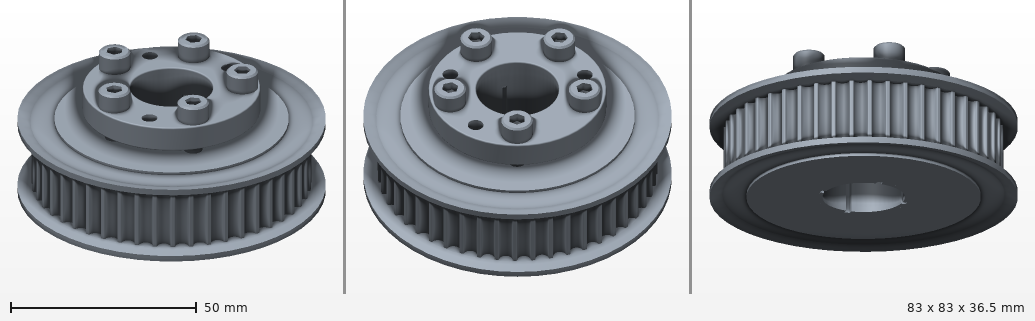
import cadquery as cq
import math

BODY_HEIGHT = 21.9
TOOTH_COUNT = 48
TIP_RADIUS = 37.7
SHOULDER_RADIUS = 31.5
SHOULDER_PROTRUSION = 0.1

GROOVE_RADIUS = 1.8
GROOVE_DEPTH = 2.0
LIP_RADIUS = 0.3

FLANGE_RADIUS = 41.5
BEND_RADIUS = 38.0
FLANGE_THICKNESS = 1.7
RIM_RISE = 0.75
FLANGE_HEIGHT = FLANGE_THICKNESS + RIM_RISE
TEETH_BOTTOM = SHOULDER_PROTRUSION + FLANGE_HEIGHT
TEETH_LENGTH = BODY_HEIGHT - 2 * TEETH_BOTTOM

HUB_RADIUS = 23.9
HUB_BOTTOM = 24.4
HUB_TOP = 31.4
SLEEVE_RADIUS = 12.4
BORE_RADIUS = 11.1
EDGE_FILLET = 0.4
SLEEVE_FILLET = 0.25
SLOT_WIDTH = 1.5
SLOT_TOP = 23.4
SLOT_COUNT = 4

BOLT_CIRCLE_RADIUS = 19.0
SCREW_COUNT = 5
FIRST_SCREW_ANGLE = 90.0
JACK_HOLE_ANGLES = (54.0, 126.0, 270.0)
JACK_HOLE_DIAMETER = 4.2

SHANK_DIAMETER = 5.0
SHANK_LENGTH = 16.6
HEAD_DIAMETER = 8.5
HEAD_TOP = 36.5
HEAD_CHAMFER = 0.5
SOCKET_FLATS = 4.0
SOCKET_DEPTH = 2.5
SOCKET_CONE_DEPTH = 1.0

SCREW_ANGLES = [FIRST_SCREW_ANGLE + i * 360 / SCREW_COUNT for i in range(SCREW_COUNT)]


def cylinder(diameter, bottom, top):
    """Upright cylinder on the Z axis."""
    return cq.Workplane("XY").workplane(offset=bottom).circle(diameter / 2).extrude(top - bottom)


def on_bolt_circle(shape, angle):
    """Move a shape from the Z axis out to the bolt circle and turn it to the given angle."""
    return shape.translate((BOLT_CIRCLE_RADIUS, 0, 0)).rotate((0, 0, 0), (0, 0, 1), angle)


def shank_space():
    """Space taken by one screw shank, still on the Z axis."""
    return cylinder(SHANK_DIAMETER, HUB_TOP - SHANK_LENGTH, HUB_TOP)


def polar(radius, angle):
    return (radius * math.cos(angle), radius * math.sin(angle))


def toothed_outline():
    """Closed outline of the teeth: tip arcs, rounded lips and circular grooves."""
    pitch = 2 * math.pi / TOOTH_COUNT
    groove_centre = TIP_RADIUS - GROOVE_DEPTH + GROOVE_RADIUS
    lip_centre = TIP_RADIUS - LIP_RADIUS

    centre_distance = GROOVE_RADIUS + LIP_RADIUS
    lip_angle = math.acos(
        (groove_centre**2 + lip_centre**2 - centre_distance**2) / (2 * groove_centre * lip_centre)
    )
    lip_x, lip_y = polar(lip_centre, lip_angle)
    share = GROOVE_RADIUS / centre_distance
    joint_x = groove_centre + share * (lip_x - groove_centre)
    joint_y = share * lip_y
    joint_radius = math.hypot(joint_x, joint_y)
    joint_angle = math.atan2(joint_y, joint_x)

    to_joint = math.atan2(joint_y - lip_y, joint_x - lip_x)
    lip_middle = (to_joint + lip_angle) / 2
    middle_x = lip_x + LIP_RADIUS * math.cos(lip_middle)
    middle_y = lip_y + LIP_RADIUS * math.sin(lip_middle)
    middle_radius = math.hypot(middle_x, middle_y)
    middle_angle = math.atan2(middle_y, middle_x)

    outline = cq.Workplane("XY").workplane(offset=TEETH_BOTTOM)
    outline = outline.moveTo(*polar(TIP_RADIUS, -lip_angle))
    for i in range(TOOTH_COUNT):
        a = i * pitch
        outline = outline.threePointArc(
            polar(middle_radius, a - middle_angle), polar(joint_radius, a - joint_angle)
        )
        outline = outline.threePointArc(
            polar(TIP_RADIUS - GROOVE_DEPTH, a), polar(joint_radius, a + joint_angle)
        )
        outline = outline.threePointArc(
            polar(middle_radius, a + middle_angle), polar(TIP_RADIUS, a + lip_angle)
        )
        outline = outline.threePointArc(
            polar(TIP_RADIUS, a + pitch / 2), polar(TIP_RADIUS, a + pitch - lip_angle)
        )
    return outline.close()


def make_pulley():
    """Toothed body with a spigot at each end, a bore for the sleeve and blind screw holes."""
    pulley = toothed_outline().extrude(TEETH_LENGTH)
    pulley = pulley.union(cylinder(2 * SHOULDER_RADIUS, 0, BODY_HEIGHT))
    pulley = pulley.cut(cylinder(2 * SLEEVE_RADIUS, 0, BODY_HEIGHT))
    for angle in SCREW_ANGLES:
        pulley = pulley.cut(on_bolt_circle(shank_space(), angle))
    return pulley


def make_lower_flange():
    """Ring resting against the lower end of the teeth, rim bent down."""
    section = [
        (SHOULDER_RADIUS, RIM_RISE),
        (BEND_RADIUS, RIM_RISE),
        (FLANGE_RADIUS, 0),
        (FLANGE_RADIUS, FLANGE_THICKNESS),
        (BEND_RADIUS, FLANGE_HEIGHT),
        (SHOULDER_RADIUS, FLANGE_HEIGHT),
    ]
    flange = cq.Workplane("XZ").polyline(section).close().revolve(360, (0, 0, 0), (0, 1, 0))
    return flange.translate((0, 0, SHOULDER_PROTRUSION))


def make_upper_flange():
    """The same ring turned over onto the upper end of the teeth."""
    return make_lower_flange().mirror("XY").translate((0, 0, BODY_HEIGHT))


def make_hub():
    """Round-edged disc and slotted sleeve with a through bore, screw holes and jacking holes."""
    hub = cylinder(2 * HUB_RADIUS, HUB_BOTTOM, HUB_TOP).union(cylinder(2 * SLEEVE_RADIUS, 0, HUB_BOTTOM))
    hub = hub.edges(cq.selectors.RadiusNthSelector(0)).edges(">Z").fillet(SLEEVE_FILLET)
    hub = hub.edges(cq.selectors.RadiusNthSelector(-1)).fillet(EDGE_FILLET)
    hub = hub.cut(cylinder(2 * BORE_RADIUS, 0, HUB_TOP))
    hub = hub.faces(">Z").edges(cq.selectors.RadiusNthSelector(0)).fillet(EDGE_FILLET)

    slot = cq.Workplane("XY").rect(2 * SLEEVE_RADIUS, SLOT_WIDTH).extrude(SLOT_TOP)
    for i in range(SLOT_COUNT // 2):
        hub = hub.cut(slot.rotate((0, 0, 0), (0, 0, 1), i * 360 / SLOT_COUNT))

    for angle in SCREW_ANGLES:
        hub = hub.cut(on_bolt_circle(shank_space(), angle))
    for angle in JACK_HOLE_ANGLES:
        hub = hub.cut(on_bolt_circle(cylinder(JACK_HOLE_DIAMETER, HUB_BOTTOM, HUB_TOP), angle))
    return hub


def make_socket():
    """Hexagonal socket space that ends in a cone."""
    corner_diameter = SOCKET_FLATS / math.cos(math.pi / 6)
    full_depth = SOCKET_DEPTH + SOCKET_CONE_DEPTH
    hexagon = (
        cq.Workplane("XY").workplane(offset=HEAD_TOP - full_depth)
        .polygon(6, corner_diameter).extrude(full_depth)
    )
    pointed_section = [
        (0, HEAD_TOP - full_depth),
        (corner_diameter / 2, HEAD_TOP - SOCKET_DEPTH),
        (corner_diameter / 2, HEAD_TOP),
        (0, HEAD_TOP),
    ]
    pointed = cq.Workplane("XZ").polyline(pointed_section).close().revolve(360, (0, 0, 0), (0, 1, 0))
    return hexagon.intersect(pointed)


def make_screw(angle):
    """Socket head screw with its head on the hub and its shank reaching into the pulley."""
    head = cylinder(HEAD_DIAMETER, HUB_TOP, HEAD_TOP).faces(">Z").edges().chamfer(HEAD_CHAMFER)
    screw = head.union(shank_space()).cut(make_socket())
    return on_bolt_circle(screw, angle)


pulley = make_pulley()
lower_flange = make_lower_flange()
upper_flange = make_upper_flange()
hub = make_hub()
screws = [make_screw(angle) for angle in SCREW_ANGLES]

result = cq.Compound.makeCompound([
    pulley.val(),
    lower_flange.val(),
    upper_flange.val(),
    hub.val(),
    *[screw.val() for screw in screws],
])